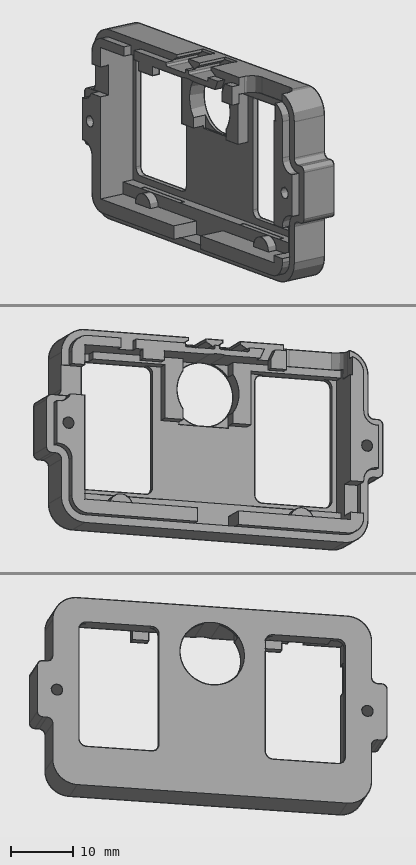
import cadquery as cq

length = 57.4
body_length = 52.35
height = 31.7
body_depth = 6.15
total_depth = 7.6
plate = 1.0

corner_radius = 4.0
ear_height = 9.5
ear_corner_radius = 0.85
ear_root_radius = 1.0
lip_inset = 1.25
screw_x = 25.5
screw_diameter = 1.85

cavity_half = 22.7
cavity_top = 13.05
cavity_bottom = -12.35
ledge_depth = 3.0
top_ledge_z = 11.8
top_ledge_left = -19.65
bottom_ledge_z = -10.35
window_inner = 8.7
window_outer = 21.85
window_bottom = -9.25
window_radius = 1.25

block_half = 7.35
block_bottom = 3.05
hole_z = 7.9
hole_diameter = 10.55
recess_half = 4.25
recess_bottom = hole_z - hole_diameter / 2
recess_floor = 0.6

bump_x = 15.45
bump_z = -12.3
bump_radius = 1.95
bump_front = 4.6
ridge_inner = 7.8
ridge_outer = 18.1
ridge_width = 0.9
ridge_crest = 0.75
ridge_height = 0.1

groove_centers = (-3.0, 2.85)
groove_half = 2.5
groove_slot_half = 1.5
groove_floor = 13.95
groove_shoulder = 14.75
groove_neck = 15.4
groove_floor_radius = 0.35
groove_end = 1.15
groove_end_chamfer = 0.3

top_gap = (-16.55, -13.95)
slant_gap_bottom = (7.25, 9.05)
slant_gap_shift = 0.75
tab_bottom = 11.5
left_tab = (-12.75, -9.1)

cutout = (11.75, 23.0)
cutout_start = 3.1
cutout_radius = 2.0

bottom_gap_half = 3.5
left_notch_top = 9.75
left_notch_floor = 5.9
pocket_top = -5.95
pocket_bottom = -11.15
pocket_floor = 4.6

right_tab = (slant_gap_bottom[1], cutout[0])
lip_top = height / 2 - lip_inset
lip_half = body_length / 2 - lip_inset
tolerance = 0.005


def at_depth(depth):
    """XZ workplane at a depth, with extrusions running towards the front."""
    return cq.Workplane("XZ", origin=(0, -depth, 0))


def block(x_range, depth_range, z_range):
    """Box given by its limits along X, depth and Z."""
    x0, x1 = x_range
    d0, d1 = depth_range
    z0, z1 = z_range
    return cq.Workplane("XY").box(x1 - x0, d1 - d0, z1 - z0, centered=False).translate((x0, -d1, z0))


def outline(inset, start, end):
    """Rounded rectangle with an ear on each side, drawn in by the inset, between two depths."""
    body_half = body_length / 2 - inset
    body = (
        at_depth(start)
        .rect(2 * body_half, height - 2 * inset)
        .extrude(end - start)
        .edges("|Y").fillet(corner_radius - inset)
    )
    ears = at_depth(start).rect(length - 2 * inset, ear_height - 2 * inset).extrude(end - start)
    if inset < ear_corner_radius:
        ears = ears.edges("|Y").fillet(ear_corner_radius - inset)
    joined = body.union(ears)
    roots = joined.edges("|Y").filter(
        lambda edge: abs(abs(edge.Center().x) - body_half) < tolerance
        and abs(edge.Center().z) < ear_height / 2 + tolerance
    )
    return roots.fillet(ear_root_radius + inset)


def groove(center):
    """Groove flaring out below a narrow slot, with a chamfer at the top of its closed end."""
    top = height / 2
    flare = (
        at_depth(groove_end)
        .moveTo(center - groove_half, groove_floor)
        .lineTo(center + groove_half, groove_floor)
        .lineTo(center + groove_half, groove_shoulder)
        .lineTo(center + groove_slot_half, groove_neck)
        .lineTo(center + groove_slot_half, top)
        .lineTo(center - groove_slot_half, top)
        .lineTo(center - groove_slot_half, groove_neck)
        .lineTo(center - groove_half, groove_shoulder)
        .close()
        .extrude(total_depth - groove_end)
        .faces("<Z").edges("|Y").fillet(groove_floor_radius)
    )
    end_chamfer = (
        cq.Workplane("YZ", origin=(center - groove_slot_half, 0, 0))
        .moveTo(-groove_end, top)
        .lineTo(-groove_end + groove_end_chamfer, top)
        .lineTo(-groove_end, top - groove_end_chamfer)
        .close()
        .extrude(2 * groove_slot_half)
    )
    return flare.union(end_chamfer)


def windows():
    """Two openings through the back plate, on either side of the lens hole."""
    width = window_outer - window_inner
    opening_height = top_ledge_z - window_bottom
    centers = [
        (side * (window_outer + window_inner) / 2, (top_ledge_z + window_bottom) / 2) for side in (-1, 1)
    ]
    tools = at_depth(0).pushPoints(centers).rect(width, opening_height).extrude(plate)
    return tools.edges("|Y").fillet(window_radius)


def ridge(start, end):
    """Low ridge along the front edge of the bottom ledge, with a gentle slope towards the front."""
    return (
        cq.Workplane("YZ", origin=(start, 0, 0))
        .moveTo(-ledge_depth, bottom_ledge_z)
        .lineTo(-ledge_depth + ridge_width, bottom_ledge_z)
        .lineTo(-ledge_depth + ridge_crest, bottom_ledge_z + ridge_height)
        .close()
        .extrude(end - start)
    )


frame = outline(0, 0, body_depth).union(outline(lip_inset, body_depth, total_depth))
cavity_width = (-cavity_half, cavity_half)
frame = frame.cut(block(cavity_width, (plate, total_depth), (cavity_bottom, cavity_top)))
frame = frame.cut(windows())

ledge_depths = (plate, ledge_depth)
frame = frame.union(block((top_ledge_left, cavity_half), ledge_depths, (top_ledge_z, cavity_top)))
frame = frame.union(block(cavity_width, ledge_depths, (cavity_bottom, bottom_ledge_z)))
frame = frame.union(block((-block_half, block_half), ledge_depths, (block_bottom, cavity_top)))

frame = frame.cut(
    block((-recess_half, recess_half), (recess_floor, ledge_depth), (recess_bottom, cavity_top))
)
frame = frame.cut(at_depth(0).center(0, hole_z).circle(hole_diameter / 2).extrude(total_depth))

for side in (-1, 1):
    bump = (
        at_depth(ledge_depth)
        .center(side * bump_x, bump_z)
        .circle(bump_radius)
        .extrude(bump_front - ledge_depth)
    )
    frame = frame.union(bump)
frame = frame.union(ridge(-ridge_outer, -ridge_inner))
frame = frame.union(ridge(ridge_inner, ridge_outer))

lip_depths = (body_depth, total_depth)
for tab in (left_tab, right_tab):
    frame = frame.union(block(tab, lip_depths, (tab_bottom, cavity_top)))

frame = frame.cut(block(top_gap, lip_depths, (cavity_top, lip_top)))
gap_left, gap_right = slant_gap_bottom
slanted_gap = (
    at_depth(body_depth)
    .moveTo(gap_left, cavity_top)
    .lineTo(gap_right, cavity_top)
    .lineTo(gap_right + slant_gap_shift, lip_top)
    .lineTo(gap_left + slant_gap_shift, lip_top)
    .close()
    .extrude(total_depth - body_depth)
)
frame = frame.cut(slanted_gap)
frame = frame.cut(
    block((-bottom_gap_half, bottom_gap_half), (ledge_depth, total_depth), (-lip_top, cavity_bottom))
)
frame = frame.cut(
    block((-length / 2, -cavity_half), (left_notch_floor, total_depth), (ear_height / 2, left_notch_top))
)
frame = frame.cut(
    block((cavity_half, lip_half), (pocket_floor, total_depth), (pocket_bottom, pocket_top))
)

corner_cutout = (
    block(cutout, (cutout_start, total_depth), (tab_bottom, height / 2))
    .faces(">Y").edges("|Z").fillet(cutout_radius)
)
frame = frame.cut(corner_cutout)

for center in groove_centers:
    frame = frame.cut(groove(center))
screws = [(-screw_x, 0), (screw_x, 0)]
result = frame.cut(at_depth(0).pushPoints(screws).circle(screw_diameter / 2).extrude(total_depth))